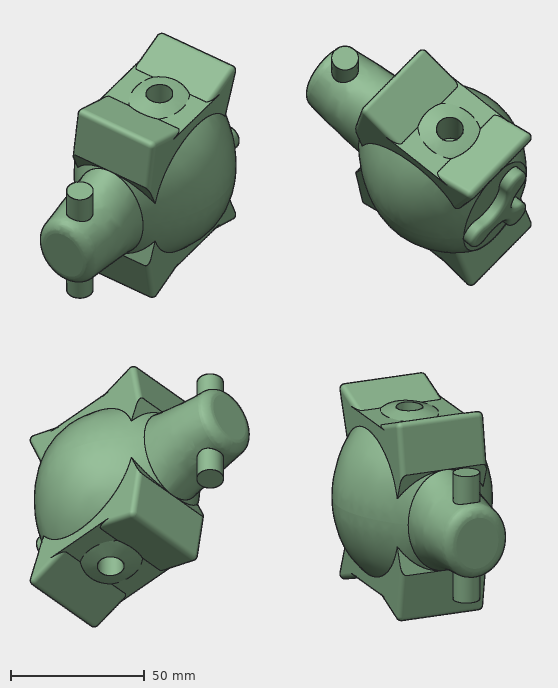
import cadquery as cq
import math

BACK_FACE_Y = 40.0
NECK_Y = -14.85
FRONT_Y = -45.0
BODY_SECTIONS = [
    (NECK_Y, 14.9, 19.8),
    (-10.7, 18.9, 25.2),
    (0.0, 26.1, 31.5),
    (15.3, 30.0, 35.1),
    (28.8, 26.6, 33.6),
    (35.1, 22.5, 30.6),
    (BACK_FACE_Y, 17.7, 26.1),
]
NECK_SECTIONS = [
    (FRONT_Y, 12.2, 14.7),
    (-34.2, 13.95, 14.7),
    (-23.4, 14.8, 16.8),
    (NECK_Y, 14.9, 19.8),
]
NECK_END_FILLET = 4.4

SADDLE_WIDTH = 35.1
SADDLE_FLAT_Z = 32.9
SADDLE_FLAT_FRONT_Y = 7.3
SADDLE_FLAT_BACK_Y = 25.3
HORN_TIP_Z = 39.7
FRONT_TIP_Y = -11.4
BACK_TIP_Y = 45.0
FRONT_FOOT = (-14.85, 19.8)
FRONT_HEEL = (-10.7, 9.5)
BACK_FOOT = (36.7, 18.45)
HORN_FILLET = 2.0

PIN_DIAMETER = 10.0
PIN_LENGTH = 49.9
PIN_Y = -34.7
SOCKET_Y = 17.5
SOCKET_DEPTH = 18.0

KNOB_BACK_Y = 45.0
LOBE_RADIUS = 5.1
LOBE_CENTERS = [(12.9, 0.0), (-7.5, 12.9), (-7.5, -12.9)]
SCALLOP_RADIUS = 9.0
KNOB_FILLET = 1.6


def y_plane(y):
    """Plane across the Y axis with local x along X, facing the front."""
    return cq.Plane(origin=(0, y, 0), xDir=(1, 0, 0), normal=(0, -1, 0))


def section_plane(y):
    """Plane across the Y axis with local x along Z, the long axis of every section."""
    return cq.Plane(origin=(0, y, 0), xDir=(0, 0, 1), normal=(0, 1, 0))


def loft_outlines(outlines):
    """Smooth solid through one closed outline per section."""
    wires = [outline.ctx.pendingWires[0] for outline in outlines]
    return cq.Workplane(cq.Solid.makeLoft(wires))


def make_upper_body():
    """Half of the round body above Z = 0, lofted through half ellipses."""
    outlines = []
    for y, half_x, half_z in BODY_SECTIONS:
        start = cq.Workplane(section_plane(y)).moveTo(0, -half_x)
        arc = start.ellipseArc(half_z, half_x, -90, 90, startAtCurrent=True)
        outlines.append(arc.close())
    return loft_outlines(outlines)


def make_neck():
    """Tapering elliptical neck with a rounded front end."""
    outlines = [
        cq.Workplane(section_plane(y)).ellipse(half_z, half_x)
        for y, half_x, half_z in NECK_SECTIONS
    ]
    return loft_outlines(outlines).faces("<Y").edges().fillet(NECK_END_FILLET)


def make_upper_saddle():
    """Saddle block with a rounded horn at each end."""
    outline = [
        FRONT_HEEL,
        FRONT_FOOT,
        (FRONT_TIP_Y, HORN_TIP_Z),
        (SADDLE_FLAT_FRONT_Y, SADDLE_FLAT_Z),
        (SADDLE_FLAT_BACK_Y, SADDLE_FLAT_Z),
        (BACK_TIP_Y, HORN_TIP_Z),
        BACK_FOOT,
        (SADDLE_FLAT_BACK_Y, 0),
        (SADDLE_FLAT_FRONT_Y, 0),
    ]
    block = cq.Workplane("YZ").polyline(outline).close().extrude(SADDLE_WIDTH / 2, both=True)
    horn_faces = [outline[1:3], outline[2:4], outline[4:6], outline[5:7]]
    rounded = []
    for (y1, z1), (y2, z2) in horn_faces:
        for x in (-SADDLE_WIDTH / 2, SADDLE_WIDTH / 2):
            rounded.append((x, (y1 + y2) / 2, (z1 + z2) / 2))
    rounded.append((0, FRONT_TIP_Y, HORN_TIP_Z))
    rounded.append((0, BACK_TIP_Y, HORN_TIP_Z))
    edges = [block.edges(cq.NearestToPointSelector(point)).val() for point in rounded]
    return block.newObject(edges).fillet(HORN_FILLET)


def make_knob():
    """Plate with three round lobes joined by tangent scallops."""
    height = KNOB_BACK_Y - BACK_FACE_Y
    base = cq.Workplane(y_plane(KNOB_BACK_Y))
    hub = []
    scallops = []
    for i, (x1, z1) in enumerate(LOBE_CENTERS):
        x2, z2 = LOBE_CENTERS[(i + 1) % len(LOBE_CENTERS)]
        span = math.hypot(x2 - x1, z2 - z1)
        reach = math.sqrt((LOBE_RADIUS + SCALLOP_RADIUS) ** 2 - (span / 2) ** 2)
        scallop_x = (x1 + x2) / 2 + reach * (z2 - z1) / span
        scallop_z = (z1 + z2) / 2 - reach * (x2 - x1) / span
        hub += [(x1, z1), (scallop_x, scallop_z)]
        scallops.append((scallop_x, scallop_z))
    knob = base.polyline(hub).close().extrude(height)
    knob = knob.union(base.pushPoints(LOBE_CENTERS).circle(LOBE_RADIUS).extrude(height))
    knob = knob.cut(base.pushPoints(scallops).circle(SCALLOP_RADIUS).extrude(height))
    return knob.faces(">Y").edges().fillet(KNOB_FILLET)


def make_sockets():
    """Blind holes from the crown and from the underside of the body."""
    crown_z = max(half_z for _, _, half_z in BODY_SECTIONS)
    hole = (
        cq.Workplane("XY", origin=(0, SOCKET_Y, crown_z - SOCKET_DEPTH))
        .circle(PIN_DIAMETER / 2)
        .extrude(2 * SOCKET_DEPTH)
    )
    return hole.union(hole.mirror("XY"))


upper_half = make_upper_body().union(make_upper_saddle())
pin = cq.Workplane("XY").center(0, PIN_Y).circle(PIN_DIAMETER / 2).extrude(PIN_LENGTH / 2, both=True)

result = (
    upper_half
    .union(upper_half.mirror("XY"))
    .union(make_neck())
    .union(make_knob())
    .union(pin)
    .cut(make_sockets())
)